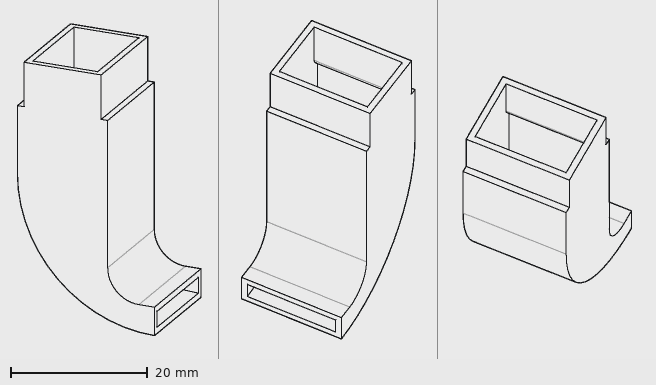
import cadquery as cq
import math

length_x = 22.0
width_y = 16.8
height_z = 39.7
wall = 1.0
body_depth = 14.5
neck_height = 7.0
neck_inset = 1.05
mouth_height = 4.5
throat_radius = 5.0
heel_radius = length_x

ARC_MIDDLE = math.radians(45)

shoulder_z = height_z - neck_height
flare_radius = neck_inset
flare_bottom_z = shoulder_z - flare_radius
neck_depth = body_depth - 2 * neck_inset


def elbow(offset, top_z):
    """Elbow solid shrunk inward by offset, up to top_z and open-ended at the mouth face."""
    heel = heel_radius - offset
    throat = throat_radius + offset
    back_x = offset
    front_x = body_depth - offset
    mouth_top_z = mouth_height - offset
    heel_diagonal = heel * math.cos(ARC_MIDDLE)
    throat_center_x = front_x + throat
    throat_center_z = mouth_top_z + throat
    throat_diagonal = throat * math.cos(ARC_MIDDLE)
    profile = (
        cq.Workplane("XZ", origin=(0, offset, 0))
        .moveTo(back_x, top_z)
        .lineTo(back_x, heel_radius)
        .threePointArc(
            (length_x - heel_diagonal, heel_radius - heel_diagonal),
            (length_x, offset),
        )
        .lineTo(length_x, mouth_top_z)
        .lineTo(throat_center_x, mouth_top_z)
        .threePointArc(
            (throat_center_x - throat_diagonal, throat_center_z - throat_diagonal),
            (front_x, throat_center_z),
        )
        .lineTo(front_x, top_z)
        .close()
    )
    return profile.extrude(-(width_y - 2 * offset))


def neck(offset):
    """Rectangular neck above the shoulder, shrunk inward by offset on its four sides."""
    block = cq.Workplane("XY").box(
        neck_depth - 2 * offset,
        width_y - 2 * offset,
        neck_height,
        centered=False,
    )
    return block.translate((neck_inset + offset, offset, shoulder_z))


def passage_flare():
    """Part of the passage that widens from the neck bore to the leg bore round two quarter circles."""
    leg_back_x = wall
    leg_front_x = body_depth - wall
    neck_back_x = leg_back_x + flare_radius
    neck_front_x = leg_front_x - flare_radius
    flare_diagonal = flare_radius * math.cos(ARC_MIDDLE)
    middle_z = shoulder_z - flare_diagonal
    profile = (
        cq.Workplane("XZ", origin=(0, wall, 0))
        .moveTo(leg_back_x, flare_bottom_z)
        .threePointArc((leg_back_x + flare_diagonal, middle_z), (neck_back_x, shoulder_z))
        .lineTo(neck_front_x, shoulder_z)
        .threePointArc((leg_front_x - flare_diagonal, middle_z), (leg_front_x, flare_bottom_z))
        .close()
    )
    return profile.extrude(-(width_y - 2 * wall))


outside = elbow(0, shoulder_z).union(neck(0))
passage = elbow(wall, flare_bottom_z).union(passage_flare()).union(neck(wall))
result = outside.cut(passage)